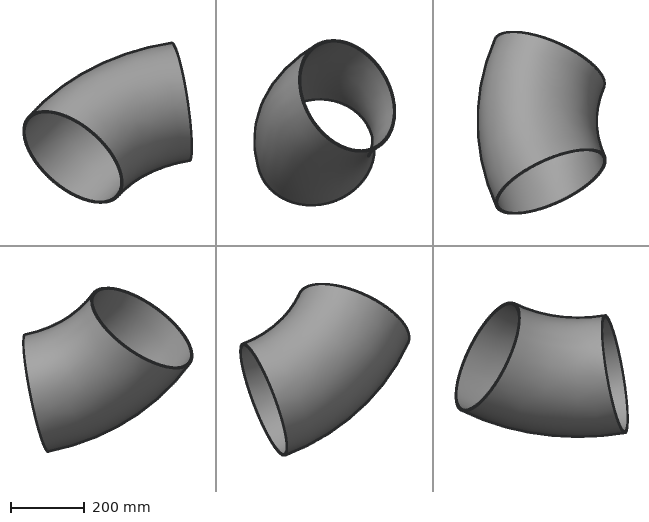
import cadquery as cq
import math

elbow_length = 437.5
outer_diameter = 324.0
wall_thickness = 4.0
bend_angle = 45.0

outer_radius = outer_diameter / 2
inner_radius = outer_radius - wall_thickness

outer_bend_radius = elbow_length / math.sin(math.radians(bend_angle))
bend_radius = outer_bend_radius - outer_radius

result = (
    cq.Workplane("XZ")
    .circle(outer_radius)
    .circle(inner_radius)
    .revolve(bend_angle, (bend_radius, 0), (bend_radius, -1))
)